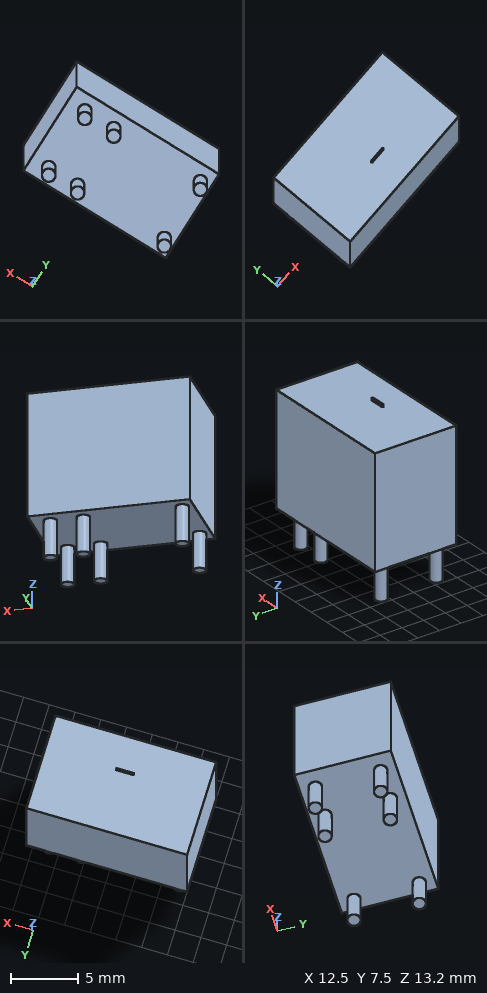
import cadquery as cq

case_length = 12.5
case_width = 7.5
case_height = 10.0

pin_diameter = 1.0
pin_pitch = 2.53
wide_gap = 3 * pin_pitch
row_spacing = 2 * pin_pitch
first_pin_x = -5.36
pin_columns = [first_pin_x, first_pin_x + wide_gap, first_pin_x + wide_gap + pin_pitch]

bar_length = 1.35
bar_width = 0.09
bar_height = 0.2
bar_x = 0.03
bar_y = -1.05

overall_height = 13.2
pin_length = overall_height - case_height - bar_height


def make_case():
    """Plain block standing on the plane Z = 0."""
    return cq.Workplane("XY").box(case_length, case_width, case_height, centered=(True, True, False))


def make_pins():
    """Pins hanging from the underside of the case."""
    pin_centers = [(x, side * row_spacing / 2) for x in pin_columns for side in (-1, 1)]
    return cq.Workplane("XY").pushPoints(pin_centers).circle(pin_diameter / 2).extrude(-pin_length)


def make_top_bar():
    """Narrow bar raised from the top face along X."""
    return (
        cq.Workplane("XY", origin=(bar_x, bar_y, case_height))
        .rect(bar_length, bar_width)
        .extrude(bar_height)
    )


result = make_case().union(make_pins()).union(make_top_bar())